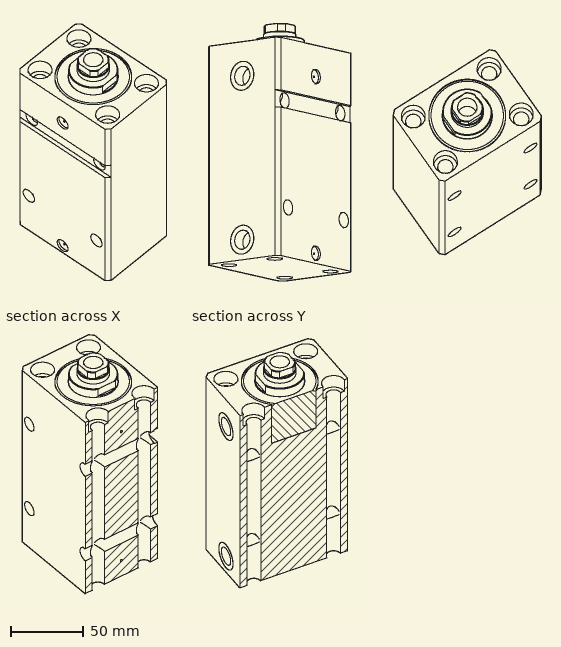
import cadquery as cq
import math

total_height = 170.0
width = 85.0
depth = 63.0
housing_height = 153.0
corner_chamfer = 3.0

front_y = -depth / 2
port_side_x = -width / 2

groove_width = 12.0
groove_depth = corner_chamfer
groove_z = housing_height - 42.8

bolt_diameter = 10.5
bolt_spacing_x = 62.9
bolt_spacing_y = 40.0
counterbore_diameter = 16.5
counterbore_depth = 10.2
lower_cross_hole_z = 34.8

port_heights = (14.1, housing_height - 24.0)
port_diameter = 13.3
port_depth = 9.4
port_passage_diameter = 1.5
port_passage_depth = 11.9
port_face_diameter = 20.2
port_face_depth = 0.2

seal_heights = (7.1, housing_height - 22.0)
seal_diameter = 10.0
seal_depth = 1.7
seal_passage_diameter = 1.0
seal_passage_depth = 3.4

gland_diameter = 53.0
gland_height = 34.0
gland_chamfer = 1.5
gland_bore_chamfer = 0.3

rod_diameter = 34.0
rod_flats = 30.6
flats_bottom_z = housing_height + 0.8
collar_top_z = housing_height + 7.0
neck_diameter = 22.5
neck_top_z = total_height - 5.6
head_diameter = 21.6
head_flats = 18.7
edge_chamfer = 0.5
rod_hole_diameter = 13.3
rod_hole_depth = 17.0
drill_point_angle = 118.0


def cylinder(diameter, bottom_z, top_z):
    """Upright cylinder on the Z axis."""
    base = cq.Workplane("XY").workplane(offset=bottom_z)
    return base.circle(diameter / 2).extrude(top_z - bottom_z)


def straight_hole(diameter, hole_depth, origin, direction):
    """Flat-ended cylindrical cutter running from origin along direction."""
    return cq.Solid.makeCylinder(
        diameter / 2, hole_depth, cq.Vector(*origin), cq.Vector(*direction)
    )


def make_housing():
    body = cq.Workplane("XY").box(width, depth, housing_height, centered=(True, True, False))
    body = body.edges("|Z").chamfer(corner_chamfer)

    groove = cq.Workplane("XY").box(width, 2 * groove_depth, groove_width)
    body = body.cut(groove.translate((0, front_y, groove_z)))

    body = (
        body.faces(">Z").workplane()
        .rarray(bolt_spacing_x, bolt_spacing_y, 2, 2)
        .cboreHole(bolt_diameter, counterbore_diameter, counterbore_depth)
    )

    for x in (-bolt_spacing_x / 2, bolt_spacing_x / 2):
        for z in (lower_cross_hole_z, groove_z):
            body = body.cut(straight_hole(bolt_diameter, depth, (x, front_y, z), (0, 1, 0)))

    for z in port_heights:
        origin = (port_side_x, 0, z)
        body = body.cut(straight_hole(port_face_diameter, port_face_depth, origin, (1, 0, 0)))
        body = body.cut(straight_hole(port_diameter, port_depth, origin, (1, 0, 0)))
        passage = straight_hole(port_passage_diameter, port_passage_depth, origin, (1, 0, 0))
        body = body.cut(passage)

    for z in seal_heights:
        origin = (0, front_y, z)
        body = body.cut(straight_hole(seal_diameter, seal_depth, origin, (0, 1, 0)))
        passage = straight_hole(seal_passage_diameter, seal_passage_depth, origin, (0, 1, 0))
        body = body.cut(passage)

    return body.cut(cylinder(gland_diameter, housing_height - gland_height, housing_height))


def make_gland():
    ring = cylinder(gland_diameter, housing_height - gland_height, housing_height)
    ring = ring.faces(">Z").edges().chamfer(gland_chamfer)
    ring = ring.cut(cylinder(rod_diameter, housing_height - gland_height, housing_height))
    bore_edge = ring.faces(">Z").edges(cq.selectors.RadiusNthSelector(0))
    return bore_edge.chamfer(gland_bore_chamfer)


def make_rod():
    collar = cylinder(rod_diameter, housing_height - gland_height, collar_top_z)
    collar = collar.faces(">Z").edges().chamfer(edge_chamfer)
    for side in (-1, 1):
        flat = cq.Workplane("XY").workplane(offset=flats_bottom_z).center(side * rod_flats, 0)
        flat = flat.rect(rod_flats, rod_diameter).extrude(collar_top_z - flats_bottom_z)
        collar = collar.cut(flat)

    neck = cylinder(neck_diameter, collar_top_z, neck_top_z)
    neck = neck.faces(">Z").edges().chamfer(edge_chamfer)

    head = cylinder(head_diameter, neck_top_z, total_height)
    head = head.faces(">Z").edges().chamfer(edge_chamfer)
    square = cq.Workplane("XY").workplane(offset=neck_top_z).rect(head_flats, head_flats)
    head = head.intersect(square.extrude(total_height - neck_top_z))

    rod = collar.union(neck).union(head)

    hole_floor_z = total_height - rod_hole_depth
    hole_radius = rod_hole_diameter / 2
    point_height = hole_radius / math.tan(math.radians(drill_point_angle / 2))
    rod = rod.cut(cylinder(rod_hole_diameter, hole_floor_z, total_height))
    point = cq.Solid.makeCone(
        hole_radius, 0, point_height, cq.Vector(0, 0, hole_floor_z), cq.Vector(0, 0, -1)
    )
    return rod.cut(point)


housing = make_housing()
gland = make_gland()
rod = make_rod()

result = cq.Compound.makeCompound([housing.val(), gland.val(), rod.val()])